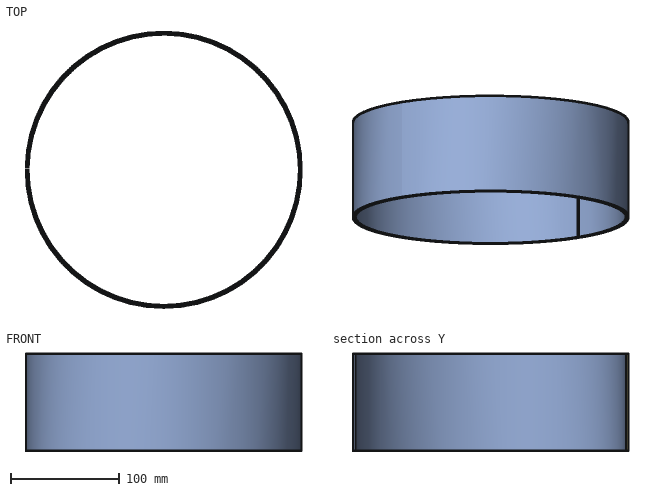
import cadquery as cq

outer_diameter = 255.0
height = 90.0
wall = 2.5
slit_width = 2.0
rim_chamfer = 0.5

outer_radius = outer_diameter / 2
inner_radius = outer_radius - wall
slit_depth = 4 * wall

band = (
    cq.Workplane("XY")
    .circle(outer_radius)
    .circle(inner_radius)
    .extrude(height)
    .faces("<Z or >Z")
    .edges()
    .chamfer(rim_chamfer)
)

slit = (
    cq.Workplane("XY")
    .center(-(outer_radius + inner_radius) / 2, slit_width / 2)
    .rect(slit_depth, slit_width)
    .extrude(height)
)

result = band.cut(slit)